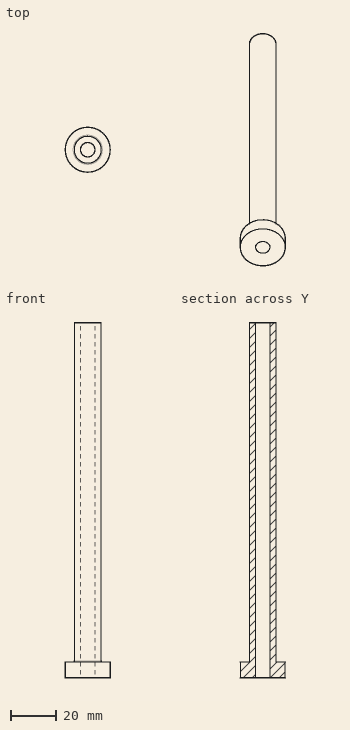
import cadquery as cq

total_length = 157.0
head_diameter = 20.0
head_height = 7.0
tube_diameter = 12.0
bore_diameter = 6.3
root_fillet = 0.5

head = cq.Workplane("XY").circle(head_diameter / 2).extrude(head_height)
tube = cq.Workplane("XY").circle(tube_diameter / 2).extrude(total_length)
body = head.union(tube)

corner_reach = tube_diameter / 2 + root_fillet
corner = cq.selectors.BoxSelector(
    (-corner_reach, -corner_reach, head_height - root_fillet),
    (corner_reach, corner_reach, head_height + root_fillet),
    boundingbox=True,
)
body = body.edges(corner).fillet(root_fillet)

bore = cq.Workplane("XY").circle(bore_diameter / 2).extrude(total_length)
result = body.cut(bore)